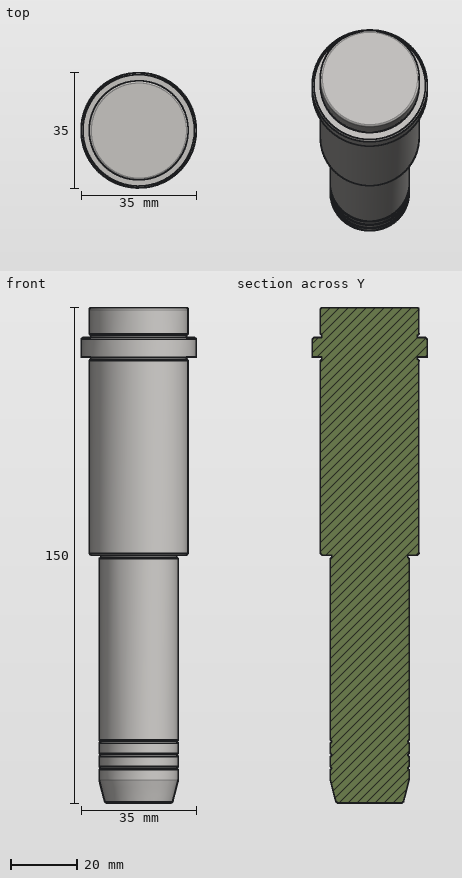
import cadquery as cq

total_length = 150.0
head_diameter = 30.0
collar_diameter = 35.0
pin_diameter = 24.0
shoulder_z = 75.0

collar_top_z = 141.0
collar_thickness = 6.0
collar_bottom_z = collar_top_z - collar_thickness

edge_chamfer = 0.6
head_top_radius = 0.6
relief_width = 1.0
relief_depth = 0.5

taper_length = 7.0
tip_diameter = 20.4
tip_chamfer = 0.5

groove_count = 3
groove_pitch = 4.0
groove_width = 1.0
groove_depth = 0.5
first_groove_z = 10.0


def cylinder(diameter, bottom_z, top_z):
    """Cylinder on the Z axis between two heights."""
    return cq.Workplane("XY").workplane(offset=bottom_z).circle(diameter / 2).extrude(top_z - bottom_z)


def ring_from_profile(points):
    """Ring swept around the Z axis from a closed outline of (radius, height) points."""
    return cq.Workplane("XZ").polyline(points).close().revolve(360, (0, 0, 0), (0, 1, 0))


def v_groove(bottom_z):
    """Symmetric V-shaped ring groove in the pin."""
    surface = pin_diameter / 2
    return ring_from_profile([
        (surface, bottom_z),
        (surface - groove_depth, bottom_z + groove_width / 2),
        (surface, bottom_z + groove_width),
    ])


def relief(diameter, face_z, direction):
    """Undercut beside a flat face, running out at 45 degrees; direction is +1 above the face, -1 below."""
    surface = diameter / 2
    floor = surface - relief_depth
    return ring_from_profile([
        (surface, face_z),
        (floor, face_z),
        (floor, face_z + direction * (relief_width - relief_depth)),
        (surface, face_z + direction * relief_width),
    ])


tip = (
    cq.Workplane("XY")
    .circle(tip_diameter / 2)
    .workplane(offset=taper_length)
    .circle(pin_diameter / 2)
    .loft(ruled=True)
    .faces("<Z").edges().chamfer(tip_chamfer)
)
pin = cylinder(pin_diameter, taper_length, shoulder_z)
pin = pin.cut(relief(pin_diameter, shoulder_z, -1))
for index in range(groove_count):
    pin = pin.cut(v_groove(first_groove_z + index * groove_pitch))

head = cylinder(head_diameter, shoulder_z, total_length).faces("<Z").edges().chamfer(edge_chamfer)
head = head.faces(">Z").edges().fillet(head_top_radius)
head = head.cut(relief(head_diameter, collar_bottom_z, -1))
head = head.cut(relief(head_diameter, collar_top_z, 1))

collar = cylinder(collar_diameter, collar_bottom_z, collar_top_z).faces(">Z").edges().chamfer(edge_chamfer)

result = tip.union(pin).union(head).union(collar)